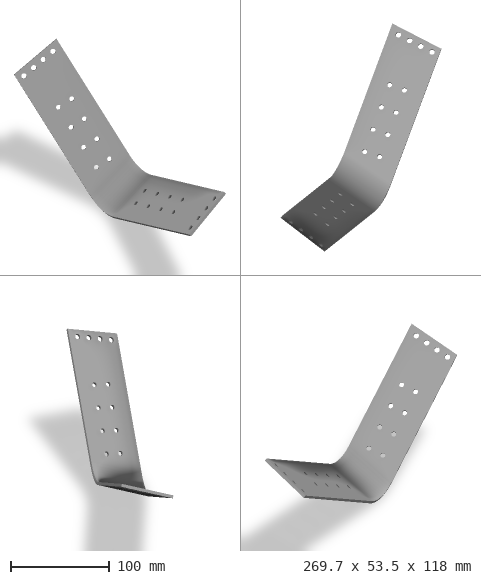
import cadquery as cq
import math

thickness = 3.0
inner_bend_radius = 28.5
arm_rise = 35.0
bend_axis_tilt = 24.69
overall_depth = 53.47

front_edge_length = 147.43
end_skew = 7.7

end_hole_diameter = 5.5
end_hole_count = 4
end_hole_pitch = 12.8
end_hole_inset = 7.4
end_hole_margin = 7.8
grid_hole_diameter = 5.0
grid_columns = 4
grid_rows = 2
grid_column_pitch = 24.2
grid_row_pitch = 15.9
grid_start = 22.4
grid_margin = 20.4

rise = math.radians(arm_rise)
tilt = math.radians(bend_axis_tilt)
skew = math.radians(end_skew)
sheet_depth = overall_depth - thickness * math.sin(tilt)
bend_axis = cq.Vector(0, math.cos(tilt), math.sin(tilt))
section_up = cq.Vector(0, -math.sin(tilt), math.cos(tilt))

arm_normal = cq.Vector(-math.sin(rise), 0, 0) + section_up * math.cos(rise)
arm_along = cq.Vector(0, 1, 0).cross(arm_normal).normalized()
arm_across = arm_normal.cross(arm_along)
arm_width = sheet_depth / arm_across.y

fold_side = inner_bend_radius * math.sin(rise)
fold_height = inner_bend_radius * (1 - math.cos(rise))
fold_front = (
    cq.Vector(fold_side, 0, 0) + section_up * fold_height + bend_axis * (fold_height * math.tan(tilt))
)
fold_shift = bend_axis * (sheet_depth / bend_axis.y)
fold_run = fold_shift.dot(arm_along)
arm_plane = cq.Plane(origin=fold_front, xDir=arm_along, normal=arm_normal)


def make_arm():
    """Right arm, drawn on its inner face and thickened outwards."""
    end_run = arm_width * math.tan(skew)
    outline = [
        (0, 0),
        (front_edge_length, 0),
        (front_edge_length + end_run, arm_width),
        (fold_run, arm_width),
    ]
    return cq.Workplane(arm_plane).polyline(outline).close().extrude(-thickness)


def hole_tool(points, diameter):
    """Straight cutters through the right arm."""
    return cq.Workplane(arm_plane).pushPoints(points).circle(diameter / 2).extrude(-thickness)


def end_hole_points():
    """Row beside the end edge and parallel to it."""
    start = front_edge_length - end_hole_inset / math.cos(skew)
    points = []
    for index in range(end_hole_count):
        reach = end_hole_margin + index * end_hole_pitch
        points.append((start + reach * math.sin(skew), reach * math.cos(skew)))
    return points


def grid_hole_points():
    """Rows parallel to the long edges."""
    points = []
    for column in range(grid_columns):
        along = grid_start + column * grid_column_pitch
        for row in range(grid_rows):
            points.append((along, grid_margin + row * grid_row_pitch))
    return points


def make_bend():
    """Cylindrical bend whose edges stay square to the sheet."""
    overrun = 2 * sheet_depth
    section_plane = cq.Plane(origin=bend_axis * overrun, xDir=(1, 0, 0), normal=bend_axis * -1)
    wedge = (
        cq.Workplane(section_plane)
        .moveTo(0, inner_bend_radius)
        .lineTo(-fold_side, fold_height)
        .threePointArc((0, 0), (fold_side, fold_height))
        .close()
        .extrude(2 * overrun)
    )
    trim_size = 4 * overrun
    trim = cq.Workplane("XY").box(trim_size, sheet_depth, trim_size, centered=(True, False, True))
    inner_face = wedge.intersect(trim).faces("%CYLINDER").val()
    outward = -thickness if inner_face.normalAt().z > 0 else thickness
    return cq.Workplane(inner_face.thicken(outward))


arm = make_arm()
arm = arm.cut(hole_tool(end_hole_points(), end_hole_diameter))
arm = arm.cut(hole_tool(grid_hole_points(), grid_hole_diameter))
result = make_bend().union(arm).union(arm.mirror("YZ"))